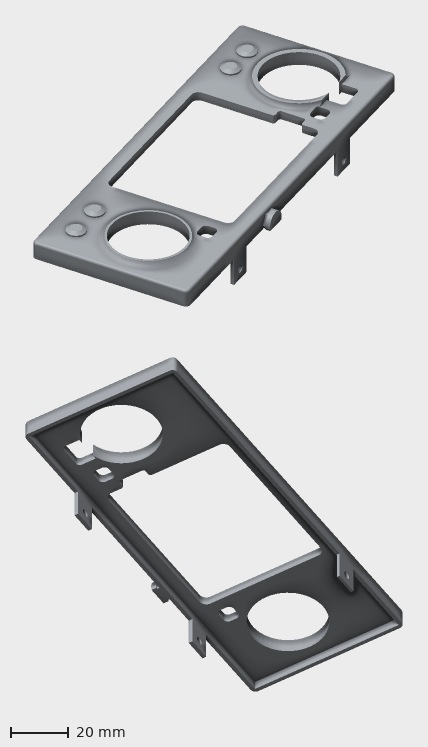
import cadquery as cq
import math

BODY_WIDTH = 62.1
BODY_LENGTH = 150.0
BODY_HEIGHT = 6.9
CORNER_RADIUS = 2.0
TOP_EDGE_RADIUS = 1.0
PLATE_THICKNESS = 3.5
WALL_THICKNESS = 1.5
PLATE_UNDERSIDE = BODY_HEIGHT - PLATE_THICKNESS
HALF_WIDTH = BODY_WIDTH / 2
HALF_LENGTH = BODY_LENGTH / 2

WINDOW_LEFT = -25.0
WINDOW_RIGHT = 24.8
WINDOW_BOTTOM = -32.5
WINDOW_TOP = 32.0
WINDOW_CORNER_RADIUS = 2.7
RELIEF_LEFT = 6.3
RELIEF_RIGHT = 17.0
RELIEF_TOP = 35.5
RELIEF_RADIUS = 0.9

RING_HEIGHT = 2.0
RING_TOP = BODY_HEIGHT + RING_HEIGHT
RING_BASE_RADIUS = 18.5
OPENING_RADIUS = 14.4
UPPER_RING_CENTER = (3.6, 54.6)
UPPER_RING_TOP_RADIUS = 16.4
UPPER_RING_FLAT_X = 17.5
LOWER_RING_CENTER = (4.0, -54.6)
LOWER_RING_TOP_RADIUS = 15.3

NOTCH_RIGHT = WINDOW_RIGHT
NOTCH_WIDTH = 10.8
NOTCH_CORNER_RADIUS = 1.5

SMALL_HOLE_X = 19.5
SMALL_HOLE_YS = (41.0, -40.4)
SMALL_HOLE_WIDTH = 6.0
SMALL_HOLE_LENGTH = 6.5
SMALL_HOLE_CORNER_RADIUS = 1.8

BUTTON_X = -20.5
BUTTON_YS = (61.0, 49.2, -48.6, -62.0)
BUTTON_HEIGHT = 1.5
BUTTON_RIM_HEIGHT = 0.6
BUTTON_BASE_RADIUS = 3.8
BUTTON_TOP_RADIUS = 2.3

TAB_DROP = 11.0
TAB_WIDTH = 9.0
TAB_Y = 37.2
TAB_HOLE_DROP = 6.9
TAB_HOLE_RADIUS = 1.5
LEFT_TAB_THICKNESS = 1.0
RIGHT_TAB_THICKNESS = WALL_THICKNESS

KNOB_Y = -17.0
KNOB_Z = 1.5
KNOB_RADIUS = 4.2
KNOB_NECK_LENGTH = 0.9
KNOB_REACH = 2.9


def rounded_block(left, right, bottom, top, radius, z_low, z_high):
    """Vertical-sided block with rounded vertical edges."""
    return (
        cq.Workplane("XY", origin=((left + right) / 2, (bottom + top) / 2, z_low))
        .rect(right - left, top - bottom)
        .extrude(z_high - z_low)
        .edges("|Z")
        .fillet(radius)
    )


def make_tray():
    tray = rounded_block(
        -HALF_WIDTH, HALF_WIDTH, -HALF_LENGTH, HALF_LENGTH, CORNER_RADIUS, 0, BODY_HEIGHT
    )
    tray = tray.faces(">Z").edges().fillet(TOP_EDGE_RADIUS)
    hollow = (
        cq.Workplane("XY")
        .rect(BODY_WIDTH - 2 * WALL_THICKNESS, BODY_LENGTH - 2 * WALL_THICKNESS)
        .extrude(PLATE_UNDERSIDE)
    )
    return tray.cut(hollow)


def make_window():
    main = rounded_block(
        WINDOW_LEFT, WINDOW_RIGHT, WINDOW_BOTTOM, WINDOW_TOP, WINDOW_CORNER_RADIUS, 0, BODY_HEIGHT
    )
    relief = (
        cq.Workplane("XY")
        .moveTo(RELIEF_LEFT - RELIEF_RADIUS, WINDOW_TOP)
        .radiusArc((RELIEF_LEFT, WINDOW_TOP + RELIEF_RADIUS), -RELIEF_RADIUS)
        .lineTo(RELIEF_LEFT, RELIEF_TOP - RELIEF_RADIUS)
        .radiusArc((RELIEF_LEFT + RELIEF_RADIUS, RELIEF_TOP), RELIEF_RADIUS)
        .lineTo(RELIEF_RIGHT - RELIEF_RADIUS, RELIEF_TOP)
        .radiusArc((RELIEF_RIGHT, RELIEF_TOP - RELIEF_RADIUS), RELIEF_RADIUS)
        .lineTo(RELIEF_RIGHT, WINDOW_TOP + RELIEF_RADIUS)
        .radiusArc((RELIEF_RIGHT + RELIEF_RADIUS, WINDOW_TOP), -RELIEF_RADIUS)
        .close()
        .extrude(BODY_HEIGHT)
    )
    return main.union(relief)


def make_ring(center, top_radius):
    """Raised ring whose concave flank runs out tangent to the plate."""
    run = RING_BASE_RADIUS - top_radius
    flank_radius = (run**2 + RING_HEIGHT**2) / (2 * RING_HEIGHT)
    return (
        cq.Workplane("XZ")
        .moveTo(0, PLATE_UNDERSIDE)
        .lineTo(RING_BASE_RADIUS, PLATE_UNDERSIDE)
        .lineTo(RING_BASE_RADIUS, BODY_HEIGHT)
        .radiusArc((top_radius, RING_TOP), flank_radius)
        .lineTo(0, RING_TOP)
        .close()
        .revolve(360, (0, 0, 0), (0, 1, 0))
        .translate((center[0], center[1], 0))
    )


def make_opening(center):
    return cq.Workplane("XY").center(*center).circle(OPENING_RADIUS).extrude(RING_TOP)


def beyond_ring_flat():
    """Block covering everything on the +X side of the upper ring's flat."""
    size = 2 * RING_BASE_RADIUS
    return (
        cq.Workplane("XY")
        .box(size, size, RING_TOP, centered=(False, True, False))
        .translate((UPPER_RING_FLAT_X, UPPER_RING_CENTER[1], 0))
    )


def make_notch():
    """Notch that opens into the upper opening and stops at the ring's flat."""
    center_x, center_y = UPPER_RING_CENTER
    bottom = center_y - NOTCH_WIDTH / 2
    top = center_y + NOTCH_WIDTH / 2
    notch = rounded_block(center_x, NOTCH_RIGHT, bottom, top, NOTCH_CORNER_RADIUS, 0, BODY_HEIGHT)
    return notch.intersect(beyond_ring_flat())


def make_small_hole(y):
    half_width = SMALL_HOLE_WIDTH / 2
    half_length = SMALL_HOLE_LENGTH / 2
    return rounded_block(
        SMALL_HOLE_X - half_width,
        SMALL_HOLE_X + half_width,
        y - half_length,
        y + half_length,
        SMALL_HOLE_CORNER_RADIUS,
        0,
        RING_TOP,
    )


def make_button(y):
    """Button with a short upright rim and a conical top edge."""
    return (
        cq.Workplane("XZ")
        .lineTo(BUTTON_BASE_RADIUS, 0)
        .lineTo(BUTTON_BASE_RADIUS, BUTTON_RIM_HEIGHT)
        .lineTo(BUTTON_TOP_RADIUS, BUTTON_HEIGHT)
        .lineTo(0, BUTTON_HEIGHT)
        .close()
        .revolve(360, (0, 0, 0), (0, 1, 0))
        .translate((BUTTON_X, y, BODY_HEIGHT))
    )


def make_tab(outer_x, y, thickness):
    """Drilled tab rooted in a side wall, its outer face flush with the wall at outer_x."""
    inward = -math.copysign(thickness, outer_x)
    side = cq.Workplane("YZ", origin=(outer_x, y, 0))
    height = TAB_DROP + PLATE_UNDERSIDE
    middle_z = (PLATE_UNDERSIDE - TAB_DROP) / 2
    tab = side.center(0, middle_z).rect(TAB_WIDTH, height).extrude(inward)
    hole = side.center(0, -TAB_HOLE_DROP).circle(TAB_HOLE_RADIUS).extrude(inward)
    return tab.cut(hole)


def make_knob():
    """Round knob on a hexagonal neck, both cut off level with the lower rim."""
    root_x = HALF_WIDTH - WALL_THICKNESS / 2
    head_x = HALF_WIDTH + KNOB_NECK_LENGTH
    end_x = HALF_WIDTH + KNOB_REACH
    neck = (
        cq.Workplane("YZ", origin=(root_x, KNOB_Y, KNOB_Z))
        .polygon(6, 2 * KNOB_RADIUS)
        .extrude(head_x - root_x)
    )
    head = (
        cq.Workplane("YZ", origin=(head_x, KNOB_Y, KNOB_Z))
        .circle(KNOB_RADIUS)
        .extrude(end_x - head_x)
    )
    below_rim = (
        cq.Workplane("XY", origin=(end_x, KNOB_Y, 0))
        .rect(2 * (end_x - root_x), 2 * KNOB_RADIUS)
        .extrude(-KNOB_RADIUS)
    )
    return neck.union(head).cut(below_rim)


upper_ring = make_ring(UPPER_RING_CENTER, UPPER_RING_TOP_RADIUS).cut(beyond_ring_flat())
result = make_tray().union(upper_ring).union(make_ring(LOWER_RING_CENTER, LOWER_RING_TOP_RADIUS))

for center in (UPPER_RING_CENTER, LOWER_RING_CENTER):
    result = result.cut(make_opening(center))
for y in SMALL_HOLE_YS:
    result = result.cut(make_small_hole(y))
result = result.cut(make_window()).cut(make_notch())

for y in BUTTON_YS:
    result = result.union(make_button(y))
result = result.union(make_tab(-HALF_WIDTH, -TAB_Y, LEFT_TAB_THICKNESS))
for y in (TAB_Y, -TAB_Y):
    result = result.union(make_tab(HALF_WIDTH, y, RIGHT_TAB_THICKNESS))
result = result.union(make_knob())